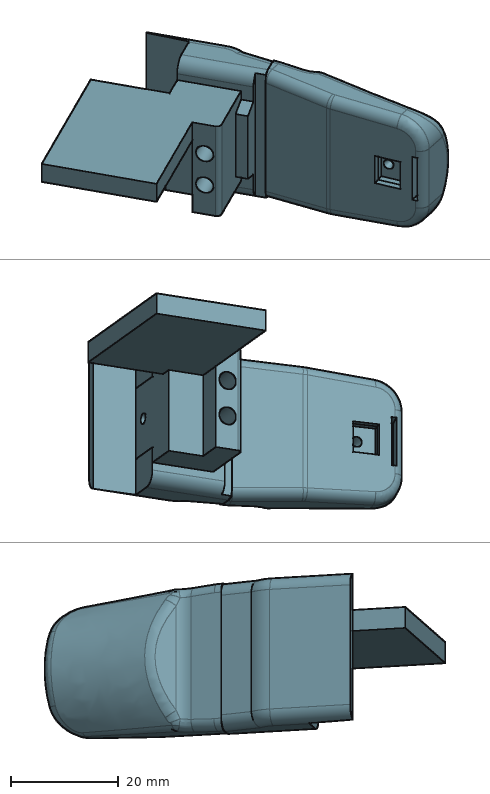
import cadquery as cq
import math

grip_height = 28.0
half_width = grip_height / 2
back_y = 9.7
joint_x = 32.25
joint_back_y = 7.3
margin = 0.7

base_left = 6.9
channel_left = 15.4
fin_edge_y = 7.7
channel_floor_y = 7.2
base_fillet = 2.6
shoulder_x = 22.35
shoulder_radius = 6.7
shoulder_sweep = 42.0
slope_start_x = 24.1
neck_slope = 11.5
groove_left = 30.2
groove_y = 1.3

plate_width = 22.4
plate_end_y = -34.8
plate_back_y = -4.7
plate_thickness = 4.0
bracket_height = 19.9
bracket_right = 27.8
flange_front_y = -12.85
web_front_y = -7.2
corner_fillet = 0.95
tongue_height = 13.9
screw_hole_dia = 3.4
screw_hole_x = 24.8
screw_hole_z = 3.5
end_hole_y = 4.1

ridge_root_height = 16.2
ridge_depth = 3.35

cone_dia = 2.1
cone_tip_dia = 0.01
cone_depth = 2.7

head_tilt = 14.0
taper_start = (33.4, 4.9)
taper_length = 32.8
taper_angle = 3.6
tip_half_width = half_width - taper_length * math.tan(math.radians(taper_angle))
tip_corner_radius = 6.0

joint_front_y = 1.1
valley_point = (39.7, 6.15)
valley_radius = 4.0
wedge_top = (52.15, 14.0)
belly_point = (45.55, -2.4)
belly_radius = 5.0
front_end = (68.9, -4.7)
head_fillet = 2.0

crown_near = (joint_x, 12.1, 30.75, 16.05)
crown_far = (68.2, 5.5, 13.7, 13.4)
crown_base_y = -13.4
crown_fillet = 2.0
peak_x = 45.35
peak_radius = 2.7

pocket_center = (57.5, -3.6)
pocket_tilt = 9.0
pocket_width = 5.1
pocket_height = 6.0
pocket_depth = 2.7
seam_depth = 1.35
insert_wall = 1.35
insert_thickness = 5.35
cone_x_shift = -1.1
slot_center = (63.0, -4.15)
slot_width = 1.0
slot_height = 9.5
slot_depth = 3.35


def prism(points, height):
    """Polygon in the XY plane extruded to the given height about Z = 0."""
    return cq.Workplane("XY").polyline(points).close().extrude(height / 2, both=True)


def block(x0, x1, y0, y1, height):
    """Box between two X and two Y limits, centred on Z = 0."""
    return prism([(x0, y0), (x1, y0), (x1, y1), (x0, y1)], height)


def rounded_long_edges(body, face, radius):
    """Round the edges between one face and the top and bottom of a body."""
    return body.faces(face).edges("|X").fillet(radius)


def conical_hole(mouth, direction):
    """Cone with its mouth at a point of the XY plane, pointing along a direction in that plane."""
    return cq.Workplane(cq.Solid.makeCone(
        cone_dia / 2,
        cone_tip_dia / 2,
        cone_depth,
        cq.Vector(*mouth, 0),
        cq.Vector(*direction, 0),
    ))


def make_base_shoulder():
    """Flat back that bends down along an arc, with its back edges rounded."""
    drop = shoulder_radius * (1 - math.cos(math.radians(shoulder_sweep)))
    run = shoulder_radius * math.sin(math.radians(shoulder_sweep))
    half_drop = shoulder_radius * (1 - math.cos(math.radians(shoulder_sweep / 2)))
    half_run = shoulder_radius * math.sin(math.radians(shoulder_sweep / 2))
    body = (
        cq.Workplane("XY")
        .moveTo(base_left, 0)
        .lineTo(shoulder_x + run, 0)
        .lineTo(shoulder_x + run, back_y - drop)
        .threePointArc((shoulder_x + half_run, back_y - half_drop), (shoulder_x, back_y))
        .lineTo(base_left, back_y)
        .close()
        .extrude(half_width, both=True)
    )
    return rounded_long_edges(body, ">Y", base_fillet)


def make_base_slope():
    """Sloping stretch between the shoulder and the joint, with its back edges rounded."""
    slope = math.tan(math.radians(neck_slope))
    start_y = joint_back_y + slope * (joint_x - slope_start_x)
    body = prism([
        (slope_start_x, 0),
        (joint_x, 0),
        (joint_x, joint_back_y),
        (slope_start_x, start_y),
    ], grip_height)
    edges = cq.selectors.BoxSelector(
        (slope_start_x + margin, joint_back_y, -half_width - margin),
        (joint_x - margin, start_y, half_width + margin),
    )
    return body.faces(">Z or <Z").edges(edges).fillet(base_fillet)


def make_ridge():
    """Wedge beside the bracket that narrows toward its free face."""
    return (
        cq.Workplane("YZ", origin=(bracket_right, 0, 0))
        .polyline([
            (0, -ridge_root_height / 2),
            (0, ridge_root_height / 2),
            (-ridge_depth, tongue_height / 2),
            (-ridge_depth, -tongue_height / 2),
        ])
        .close()
        .extrude(groove_left - bracket_right)
    )


def make_base():
    """Left part of the handle with its fin, channel, groove and ridge."""
    body = make_base_shoulder().union(make_base_slope())
    body = rounded_long_edges(body, "<Y", base_fillet)
    body = body.cut(prism([
        (base_left, 0),
        (base_left, fin_edge_y),
        (channel_left, channel_floor_y),
        (channel_left, 0),
    ], grip_height))
    body = body.cut(block(channel_left, bracket_right, 0, channel_floor_y, tongue_height))
    body = body.cut(block(groove_left, joint_x, 0, groove_y, grip_height))
    return body.union(make_ridge())


def make_bracket():
    """Plate, web and flange with a tongue that fills the channel of the base."""
    tongue = block(channel_left, bracket_right, 0, channel_floor_y, tongue_height)
    web = block(channel_left, bracket_right, web_front_y, 0, bracket_height)
    flange = block(plate_width, bracket_right, flange_front_y, web_front_y, bracket_height)
    flange = flange.edges("|Z and >X and <Y").fillet(corner_fillet)
    plate = (
        cq.Workplane("XY", origin=(0, 0, bracket_height / 2 - plate_thickness))
        .polyline([
            (0, plate_end_y),
            (plate_width, plate_end_y),
            (plate_width, web_front_y),
            (channel_left, web_front_y),
            (channel_left, plate_back_y),
            (0, plate_back_y),
        ])
        .close()
        .extrude(plate_thickness)
    )
    body = web.union(flange).union(plate).union(tongue)
    screw_holes = (
        cq.Workplane("XZ", origin=(0, flange_front_y, 0))
        .pushPoints([(screw_hole_x, screw_hole_z), (screw_hole_x, -screw_hole_z)])
        .circle(screw_hole_dia / 2)
        .extrude(flange_front_y - channel_floor_y)
    )
    end_hole = conical_hole((channel_left, end_hole_y), (1, 0))
    return body.cut(screw_holes).cut(end_hole)


def tilted(body, x, y):
    """Turn a body built at the origin to the lean of the head and move it to (x, y)."""
    return body.rotate((0, 0, 0), (0, 0, 1), -head_tilt).translate((x, y, 0))


def make_neck_profile():
    """Head seen along Z without its crowned back, with its valley and belly rounded."""
    body = prism([
        (joint_x, joint_front_y),
        (joint_x, joint_back_y),
        valley_point,
        wedge_top,
        (front_end[0], wedge_top[1]),
        front_end,
        belly_point,
    ], 2 * (half_width + margin))
    for point, radius in [(valley_point, valley_radius), (belly_point, belly_radius)]:
        bend = cq.selectors.NearestToPointSelector((*point, 0))
        body = body.edges(bend).fillet(radius)
    return body


def make_head_outline():
    """Tapered plan of the head with round tip corners, along the lean of the head."""
    outline = (
        cq.Workplane("XZ")
        .polyline([
            (-taper_length, -half_width),
            (0, -half_width),
            (taper_length, -tip_half_width),
            (taper_length, tip_half_width),
            (0, half_width),
            (-taper_length, half_width),
        ])
        .close()
        .extrude(taper_length, both=True)
        .edges("|Y and >X")
        .fillet(tip_corner_radius)
    )
    return tilted(outline, *taper_start)


def crown_section(station):
    """Closed wire across the head with a circular back."""
    x, apex, radius, reach = station
    edge = apex - radius + math.sqrt(radius**2 - reach**2)
    return (
        cq.Workplane("YZ", origin=(x, 0, 0))
        .moveTo(crown_base_y, -reach)
        .lineTo(edge, -reach)
        .threePointArc((apex, 0), (edge, reach))
        .lineTo(crown_base_y, reach)
        .close()
        .val()
    )


def make_crown():
    """Solid under a crown that deepens from the joint to the tip."""
    sections = [crown_section(crown_near), crown_section(crown_far)]
    return cq.Workplane(cq.Solid.makeLoft(sections, True))


def mirrored_edges(body, x_range, y_range, z_range):
    """Edges centred in a box or in its mirror image below Z = 0."""
    above = cq.selectors.BoxSelector(
        (x_range[0], y_range[0], z_range[0]), (x_range[1], y_range[1], z_range[1])
    )
    below = cq.selectors.BoxSelector(
        (x_range[0], y_range[0], -z_range[1]), (x_range[1], y_range[1], -z_range[0])
    )
    return body.edges(above + below)


def make_neck(outline):
    """Neck and front of the head with their edges rounded; the back still rises as a wedge."""
    body = make_neck_profile().intersect(outline)
    side_band = (tip_half_width, half_width + margin)
    back_edges = mirrored_edges(
        body, (joint_x, wedge_top[0]), (valley_point[1], wedge_top[1] - margin), side_band
    )
    body = back_edges.fillet(head_fillet)
    front_range = (front_end[1], joint_front_y)
    side_edges = mirrored_edges(
        body, (joint_x, front_end[0]), front_range, (margin, half_width + margin)
    )
    tip_box = cq.selectors.BoxSelector(
        (slot_center[0], front_range[0], -margin), (front_end[0], front_range[1], margin)
    )
    return side_edges.add(body.edges(tip_box)).fillet(head_fillet)


def make_rounded_crown(outline):
    """Crowned back trimmed to the outline, with its rim rounded."""
    body = make_crown().intersect(outline)
    back = cq.selectors.NearestToPointSelector((peak_x, crown_near[1], 0))
    return body.faces(back).edges("not <X").fillet(crown_fillet)


def slanted_block(front_center, start, depth, width, height, tilt):
    """Block parallel to the front of the head that runs inward at the given tilt."""
    step_x = math.sin(math.radians(tilt))
    step_y = math.cos(math.radians(tilt))
    slope = (front_end[1] - belly_point[1]) / (front_end[0] - belly_point[0])
    x, y = front_center
    corners = []
    for side, reach in [(-1, start), (1, start), (1, start + depth), (-1, start + depth)]:
        offset = side * width / 2
        corners.append((x + offset + reach * step_x, y + offset * slope + reach * step_y))
    return prism(corners, height)


def make_pocket_tool():
    """Square pocket through the front wall and into the insert."""
    return slanted_block(
        pocket_center, -margin, pocket_depth + margin, pocket_width, pocket_height, pocket_tilt
    )


def make_insert_blank():
    """Outer shape of the insert, which is also its cavity in the head."""
    return slanted_block(
        pocket_center,
        seam_depth,
        insert_thickness,
        pocket_width + 2 * insert_wall,
        pocket_height + 2 * insert_wall,
        pocket_tilt,
    )


def make_insert():
    """Insert behind the front wall of the head, with the bottom of the pocket and a conical hole."""
    step_x = math.sin(math.radians(pocket_tilt))
    step_y = math.cos(math.radians(pocket_tilt))
    mouth = (
        pocket_center[0] + pocket_depth * step_x + cone_x_shift,
        pocket_center[1] + pocket_depth * step_y,
    )
    cone = conical_hole(mouth, (step_x, step_y))
    return make_insert_blank().cut(make_pocket_tool()).cut(cone)


def make_head():
    """Right part of the handle with its pocket, insert cavity and slot near the tip."""
    outline = make_head_outline()
    body = make_neck(outline).intersect(make_rounded_crown(outline))
    peak_box = cq.selectors.BoxSelector(
        ((valley_point[0] + peak_x) / 2, joint_back_y, -margin), (peak_x + margin, back_y, margin)
    )
    body = body.edges(peak_box).fillet(peak_radius)
    slot = slanted_block(slot_center, -margin, slot_depth + margin, slot_width, slot_height, head_tilt)
    return body.cut(slot).cut(make_pocket_tool()).cut(make_insert_blank())


base = make_base()
bracket = make_bracket()
head = make_head()
insert = make_insert()
result = cq.Compound.makeCompound([body.solids().val() for body in (base, bracket, head, insert)])